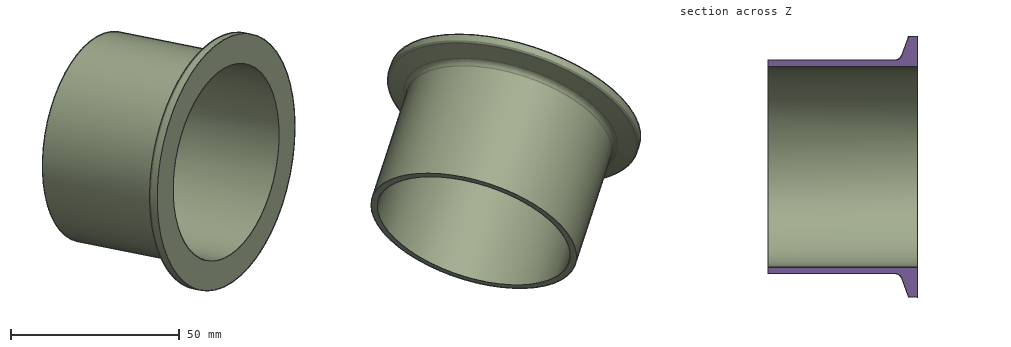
import cadquery as cq
import math

length = 44.5
bore_diameter = 59.5
tube_diameter = 63.5
flange_diameter = 77.5
rim_width = 2.3
rim_round = 0.6
root_fillet = 1.9
cone_angle = 20.0

bore_radius = bore_diameter / 2
tube_radius = tube_diameter / 2
flange_radius = flange_diameter / 2

cone_outer_x = length - rim_width - rim_round * math.tan(math.radians(45 - cone_angle / 2))
cone_depth = (flange_radius - tube_radius) * math.tan(math.radians(cone_angle))
cone_inner_x = cone_outer_x - cone_depth


def ferrule_body():
    """Revolve the tube wall and flange section about the X axis."""
    section = (
        cq.Workplane("XY")
        .moveTo(0, bore_radius)
        .lineTo(0, tube_radius)
        .lineTo(cone_inner_x, tube_radius)
        .lineTo(cone_outer_x, flange_radius)
        .lineTo(length, flange_radius)
        .lineTo(length, bore_radius)
        .close()
    )
    return section.revolve(360, (0, 0, 0), (1, 0, 0))


def round_circle(body, x, radius, round_radius):
    """Round the circular edge that passes through (x, radius)."""
    edge = cq.selectors.NearestToPointSelector((x, 0, 0))
    circles = body.edges("%CIRCLE").filter(lambda e: abs(e.radius() - radius) < 0.001)
    return circles.edges(edge).fillet(round_radius)


body = ferrule_body()
body = round_circle(body, cone_inner_x, tube_radius, root_fillet)
result = round_circle(body, cone_outer_x, flange_radius, rim_round)